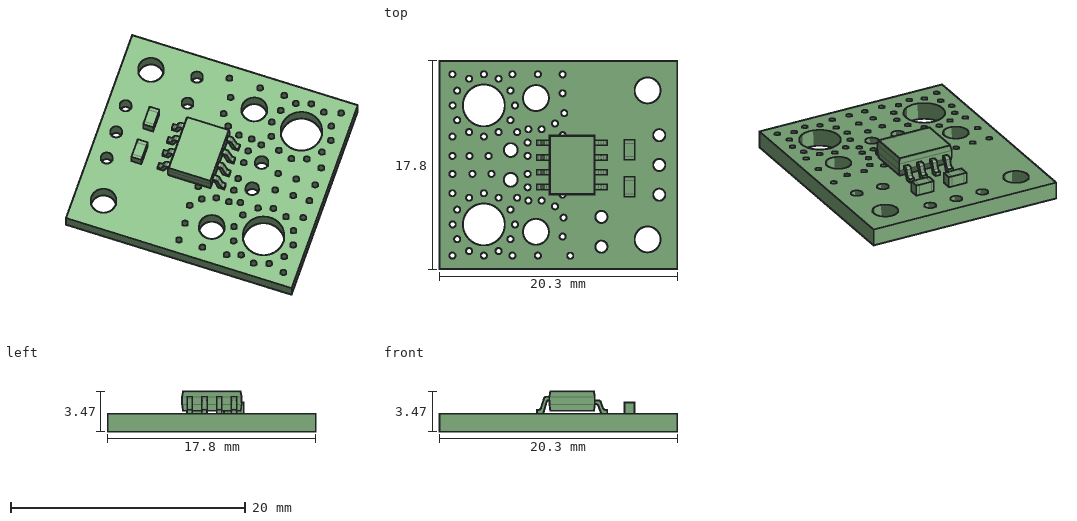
import cadquery as cq
import math

BOARD_LENGTH = 20.32
BOARD_WIDTH = 17.78
BOARD_THICKNESS = 1.55
TOTAL_HEIGHT = 3.47
CENTRE_Y = BOARD_WIDTH / 2

RING_HOLE_DIAMETER = 3.55
RING_HOLE_X = 3.8
RING_HOLE_OFFSET = 5.08
MOUNT_HOLE_DIAMETER = 2.2
LEFT_MOUNT_X = 8.25
LEFT_MOUNT_OFFSET = 5.7
RIGHT_MOUNT_X = 17.78
RIGHT_MOUNT_OFFSET = 6.35

WIRE_HOLE_DIAMETER = 1.15
WIRE_HOLE_X = 6.1
HEADER_HOLE_DIAMETER = 1.02
HEADER_PITCH = 2.55
HEADER_X = 18.78
SIDE_HEADER_X = 13.84
SIDE_HEADER_Y = 1.9

VIA_DIAMETER = 0.5
VIA_RING_QUARTER = [
    (2.66, 0),
    (2.28, 1.25),
    (1.25, 2.28),
]
MIRRORED_VIAS = [
    (1.12, 7.75),
    (6.24, 7.75),
    (8.41, 7.75),
    (10.53, 6.12),
    (9.88, 3.54),
    (8.74, 3.05),
    (7.6, 3.05),
    (6.65, 2.8),
    (10.53, 2.55),
    (7.54, 1.9),
    (7.54, 0.77),
    (1.12, 2.42),
    (1.12, 0.77),
]
SINGLE_VIAS = [
    (10.53, 16.62),
    (11.18, 1.14),
    (10.67, 13.3),
    (10.6, 4.39),
    (2.58, 9.65),
    (4.2, 9.65),
    (2.82, 8.13),
    (4.45, 8.13),
]

CHIP_X = 11.34
CHIP_LENGTH = 3.9
CHIP_WIDTH = 5.1
CHIP_STANDOFF = 0.25
CHIP_BAND_BOTTOM = 0.81
CHIP_BAND_TOP = 1.46
CHIP_TAPER = 0.08
CHIP_LID_THICKNESS = 0.06

LEADS_PER_SIDE = 4
LEAD_PITCH = 1.25
LEAD_WIDTH = 0.45
LEAD_THICKNESS = 0.33
LEAD_REACH = 1.05
LEAD_BEND_RADIUS = 0.22
LEAD_ROOT = 0.2
LEFT_LEAD_TOP = CHIP_BAND_TOP
RIGHT_LEAD_TOP = CHIP_BAND_BOTTOM + LEAD_THICKNESS
LEFT_LEAD_BENDS = {"outer_knee": 0.4, "outer_heel": 0.77, "inner_knee": 0.18, "inner_heel": 0.5}
RIGHT_LEAD_BENDS = {"outer_knee": 0.45, "outer_heel": 0.75, "inner_knee": 0.22, "inner_heel": 0.53}

CAPACITOR_X = 16.24
CAPACITOR_CENTRES_Y = [7.01, 10.18]
CAPACITOR_LENGTH = 1.7
CAPACITOR_WIDTH = 0.9
CAPACITOR_HEIGHT = 0.98
TERMINAL_LENGTH = 0.28


def mirrored(x, offset):
    """Two points at equal distances either side of the board's middle line."""
    return [(x, CENTRE_Y - offset), (x, CENTRE_Y + offset)]


def via_points():
    points = list(SINGLE_VIAS)
    for x, offset in MIRRORED_VIAS:
        points += mirrored(x, offset)
    for centre_x, centre_y in mirrored(RING_HOLE_X, RING_HOLE_OFFSET):
        for dx, dy in VIA_RING_QUARTER:
            quarter_turns = [(dx, dy), (-dy, dx), (-dx, -dy), (dy, -dx)]
            points += [(centre_x + u, centre_y + v) for u, v in quarter_turns]
    return points


def drill(body, diameter, points):
    """Cut through holes of one diameter into the board."""
    bits = cq.Workplane("XY").pushPoints(points).circle(diameter / 2).extrude(BOARD_THICKNESS)
    return body.cut(bits)


def make_board():
    size = (BOARD_LENGTH, BOARD_WIDTH, BOARD_THICKNESS)
    board = cq.Workplane("XY").box(*size, centered=False)
    board = drill(board, RING_HOLE_DIAMETER, mirrored(RING_HOLE_X, RING_HOLE_OFFSET))
    mounts = mirrored(LEFT_MOUNT_X, LEFT_MOUNT_OFFSET) + mirrored(RIGHT_MOUNT_X, RIGHT_MOUNT_OFFSET)
    board = drill(board, MOUNT_HOLE_DIAMETER, mounts)
    board = drill(board, WIRE_HOLE_DIAMETER, mirrored(WIRE_HOLE_X, HEADER_PITCH / 2))
    headers = mirrored(HEADER_X, HEADER_PITCH) + [(HEADER_X, CENTRE_Y)]
    headers += [(SIDE_HEADER_X, SIDE_HEADER_Y), (SIDE_HEADER_X, SIDE_HEADER_Y + HEADER_PITCH)]
    board = drill(board, HEADER_HOLE_DIAMETER, headers)
    return drill(board, VIA_DIAMETER, via_points())


def tapered_block(height):
    """Block with the chip's full outline at its base, narrowing by CHIP_TAPER per side."""
    draft = math.degrees(math.atan2(CHIP_TAPER, abs(height)))
    return cq.Workplane("XY").rect(CHIP_LENGTH, CHIP_WIDTH).extrude(height, taper=draft)


def make_chip_body():
    """Straight middle band with tapered blocks above and below and a thin straight lid on top."""
    lid_base = TOTAL_HEIGHT - BOARD_THICKNESS - CHIP_LID_THICKNESS
    lid_length = CHIP_LENGTH - 2 * CHIP_TAPER
    lid_width = CHIP_WIDTH - 2 * CHIP_TAPER
    band_height = CHIP_BAND_TOP - CHIP_BAND_BOTTOM
    band = cq.Workplane("XY").rect(CHIP_LENGTH, CHIP_WIDTH).extrude(band_height)
    lower = tapered_block(CHIP_STANDOFF - CHIP_BAND_BOTTOM)
    upper = tapered_block(lid_base - CHIP_BAND_TOP).translate((0, 0, band_height))
    lid = cq.Workplane("XY").rect(lid_length, lid_width).extrude(CHIP_LID_THICKNESS)
    lid = lid.translate((0, 0, lid_base - CHIP_BAND_BOTTOM))
    body = band.union(lower).union(upper).union(lid)
    return body.translate((CHIP_X, CENTRE_Y, BOARD_THICKNESS + CHIP_BAND_BOTTOM))


def make_lead(top, outer_knee, outer_heel, inner_knee, inner_heel):
    """One bent lead going out along +X from the chip's side, its foot on Z = 0."""
    outline = [
        (-LEAD_ROOT, top),
        (outer_knee, top),
        (outer_heel, LEAD_THICKNESS),
        (LEAD_REACH, LEAD_THICKNESS),
        (LEAD_REACH, 0),
        (inner_heel, 0),
        (inner_knee, top - LEAD_THICKNESS),
        (-LEAD_ROOT, top - LEAD_THICKNESS),
    ]
    lead = cq.Workplane("XZ").polyline(outline).close().extrude(LEAD_WIDTH / 2, both=True)
    for x, z in [outline[1], outline[2], outline[6]]:
        bend = cq.selectors.NearestToPointSelector((x, 0, z))
        lead = lead.edges("|Y").edges(bend).fillet(LEAD_BEND_RADIUS)
    return lead


def add_leads(body):
    left = make_lead(LEFT_LEAD_TOP, **LEFT_LEAD_BENDS).mirror("YZ")
    left = left.translate((CHIP_X - CHIP_LENGTH / 2, 0, BOARD_THICKNESS))
    right = make_lead(RIGHT_LEAD_TOP, **RIGHT_LEAD_BENDS)
    right = right.translate((CHIP_X + CHIP_LENGTH / 2, 0, BOARD_THICKNESS))
    for i in range(LEADS_PER_SIDE):
        y = CENTRE_Y + (i - (LEADS_PER_SIDE - 1) / 2) * LEAD_PITCH
        body = body.union(left.translate((0, y, 0))).union(right.translate((0, y, 0)))
    return body


def add_capacitors(body):
    """Ceramic blocks with flush end terminals, whose boundaries stay as edges."""
    ceramic_length = CAPACITOR_LENGTH - 2 * TERMINAL_LENGTH
    terminal_offset = (CAPACITOR_LENGTH - TERMINAL_LENGTH) / 2
    for y in CAPACITOR_CENTRES_Y:
        sections = [
            (y - terminal_offset, TERMINAL_LENGTH),
            (y, ceramic_length),
            (y + terminal_offset, TERMINAL_LENGTH),
        ]
        for section_y, length in sections:
            block = cq.Workplane("XY").rect(CAPACITOR_WIDTH, length).extrude(CAPACITOR_HEIGHT)
            block = block.translate((CAPACITOR_X, section_y, BOARD_THICKNESS))
            body = body.union(block, clean=False)
    return body


result = make_board().union(make_chip_body())
result = add_leads(result)
result = add_capacitors(result)